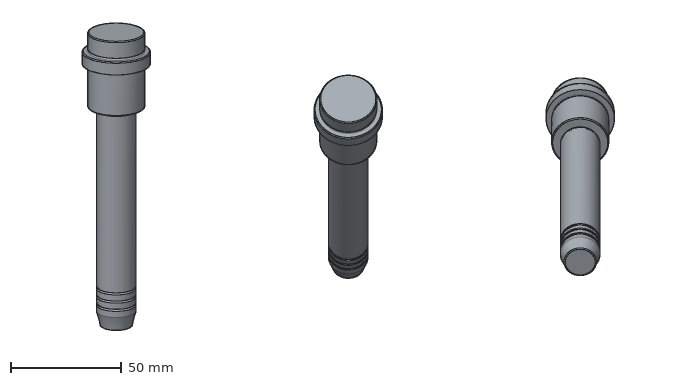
import cadquery as cq

total_length = 141.0
head_length = 8.0
collar_thickness = 6.0
sleeve_length = 19.9
neck_length = 1.4
tip_length = 7.0

collar_radius = 15.5
head_radius = 13.0
shaft_radius = 9.0
neck_radius = 8.5
tip_radius = 7.3

edge_chamfer = 0.5
tip_chamfer_height = 0.35
tip_chamfer_width = 0.5
tip_hollow = 0.1

groove_radius = 0.5
groove_width = 2 * groove_radius
oil_groove_count = 3
lowest_oil_groove = 10.0
oil_groove_pitch = 4.0

head_bottom = total_length - head_length
collar_top = head_bottom - groove_width
collar_bottom = collar_top - collar_thickness
sleeve_top = collar_bottom - groove_width
sleeve_bottom = sleeve_top - sleeve_length
shaft_top = sleeve_bottom - neck_length


def add_groove(outline, radius, bottom):
    """Run the outline up through a half-round groove in a cylinder of the given radius."""
    deepest_point = (-(radius - groove_radius), bottom + groove_radius)
    return outline.threePointArc(deepest_point, (-radius, bottom + groove_width))


def add_tip(outline):
    """Chamfered end and slightly hollow lead-in taper, up to the shaft."""
    hollow_point = (
        -((shaft_radius + tip_radius) / 2 - tip_hollow),
        (tip_length + tip_chamfer_height) / 2,
    )
    return (
        outline.lineTo(-(tip_radius - tip_chamfer_width), 0)
        .lineTo(-tip_radius, tip_chamfer_height)
        .threePointArc(hollow_point, (-shaft_radius, tip_length))
    )


def add_shaft(outline):
    """Guide shaft with a row of oil grooves and a straight neck under the sleeve."""
    for index in range(oil_groove_count):
        bottom = lowest_oil_groove + index * oil_groove_pitch
        outline = outline.lineTo(-shaft_radius, bottom)
        outline = add_groove(outline, shaft_radius, bottom)
    outline = outline.lineTo(-shaft_radius, shaft_top)
    return outline.lineTo(-neck_radius, shaft_top).lineTo(-neck_radius, sleeve_bottom)


def add_sleeve(outline):
    """Fitting diameter with a chamfered lower edge and a relief groove under the collar."""
    outline = (
        outline.lineTo(-(head_radius - edge_chamfer), sleeve_bottom)
        .lineTo(-head_radius, sleeve_bottom + edge_chamfer)
        .lineTo(-head_radius, sleeve_top)
    )
    return add_groove(outline, head_radius, sleeve_top)


def add_collar(outline):
    """Stop collar with a chamfered upper edge and a relief groove above it."""
    outline = (
        outline.lineTo(-collar_radius, collar_bottom)
        .lineTo(-collar_radius, collar_top - edge_chamfer)
        .lineTo(-(collar_radius - edge_chamfer), collar_top)
        .lineTo(-head_radius, collar_top)
    )
    return add_groove(outline, head_radius, collar_top)


def add_head(outline):
    """Head with a chamfered upper edge, closed at the pin axis."""
    return (
        outline.lineTo(-head_radius, total_length - edge_chamfer)
        .lineTo(-(head_radius - edge_chamfer), total_length)
        .lineTo(0, total_length)
    )


half_section = cq.Workplane("XZ").moveTo(0, 0)
for add_step in (add_tip, add_shaft, add_sleeve, add_collar, add_head):
    half_section = add_step(half_section)

result = half_section.close().revolve(360, (0, 0, 0), (0, 1, 0))